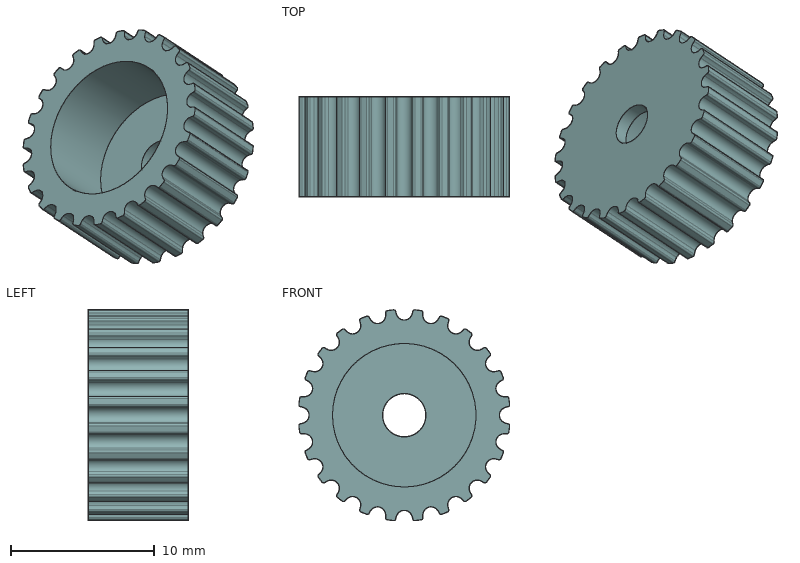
import cadquery as cq
import math

tooth_count = 24
tip_diameter = 14.77
pulley_width = 7.0
cup_diameter = 10
bore_diameter = 3.0
web_thickness = 1.0

groove_depth = 0.75
root_arc_radius = 0.56
flank_arc_radius = 1.0
corner_radius = 0.15

tip_radius = tip_diameter / 2
cup_depth = pulley_width - web_thickness
cut_margin = 0.3


def point_toward(start, target, distance):
    """Point at a given distance from start, on the line through target."""
    length = math.dist(start, target)
    return tuple(s + (t - s) * distance / length for s, t in zip(start, target))


def mirrored(point):
    return (-point[0], point[1])


def circle_crossing(center, radius, origin_radius):
    """Right-hand crossing of a circle with one of origin_radius about the pulley axis."""
    center_distance = math.hypot(*center)
    along = (origin_radius**2 - radius**2 + center_distance**2) / (2 * center_distance)
    across = math.sqrt(origin_radius**2 - along**2)
    unit_x = center[0] / center_distance
    unit_y = center[1] / center_distance
    return (along * unit_x + across * unit_y, along * unit_y - across * unit_x)


def groove_outline():
    """Closed outline of one groove, centred on the local Y axis of the sketch."""
    root = (0, tip_radius - groove_depth)
    root_center = (0, root[1] + root_arc_radius)

    flank_offset_y = tip_radius - root_center[1]
    flank_offset_x = math.sqrt((flank_arc_radius - root_arc_radius) ** 2 - flank_offset_y**2)
    flank_center = (-flank_offset_x, tip_radius)

    corner_center = circle_crossing(
        flank_center, flank_arc_radius + corner_radius, tip_radius - corner_radius
    )

    root_end = point_toward(flank_center, root_center, flank_arc_radius)
    flank_end = point_toward(flank_center, corner_center, flank_arc_radius)
    corner_end = point_toward((0, 0), corner_center, tip_radius)

    flank_chord_middle = tuple((a + b) / 2 for a, b in zip(root_end, flank_end))
    corner_chord_middle = tuple((a + b) / 2 for a, b in zip(flank_end, corner_end))
    flank_middle = point_toward(flank_center, flank_chord_middle, flank_arc_radius)
    corner_middle = point_toward(corner_center, corner_chord_middle, corner_radius)
    outer_end = (corner_end[0], tip_radius + cut_margin)

    return (
        cq.Workplane("XZ", origin=(0, pulley_width / 2, 0))
        .moveTo(*mirrored(outer_end))
        .lineTo(*mirrored(corner_end))
        .threePointArc(mirrored(corner_middle), mirrored(flank_end))
        .threePointArc(mirrored(flank_middle), mirrored(root_end))
        .threePointArc(root, root_end)
        .threePointArc(flank_middle, flank_end)
        .threePointArc(corner_middle, corner_end)
        .lineTo(*outer_end)
        .close()
    )


def toothed_blank():
    blank = (
        cq.Workplane("XZ", origin=(0, pulley_width / 2, 0))
        .circle(tip_radius)
        .extrude(pulley_width)
    )
    groove = groove_outline().extrude(pulley_width)
    for index in range(tooth_count):
        blank = blank.cut(groove.rotate((0, 0, 0), (0, 1, 0), index * 360 / tooth_count))
    return blank


result = toothed_blank().faces("<Y").workplane(origin=(0, 0, 0)).cboreHole(
    bore_diameter, cup_diameter, cup_depth
)